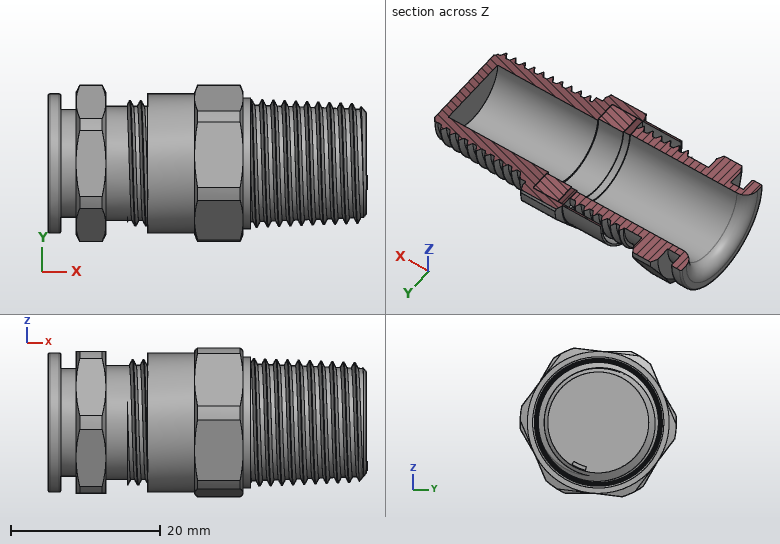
import cadquery as cq
import math


flange_diameter = 18.66
flange_length = 1.7
flange_edge_radius = 0.25
neck_diameter = 14.48
gland_hex_start = 3.73
gland_hex_length = 4.0
gland_hex_chamfer = 0.5
gland_root_diameter = 15.31
gland_thread_start = 10.6
gland_nut_end = 19.6
gland_bore = 12.33
bell_mouth_radius = 2.0

body_diameter = flange_diameter
body_start = 13.3
body_hex_start = 19.6
body_hex_length = 6.5
body_hex_chamfer = 0.4
body_hex_turn = 7.0
collar_diameter = 17.58
collar_length = 1.0
taper_root_large = 15.68
taper_root_small = 14.48
tip_diameter = 13.52
tip_chamfer = 0.4
tip_end = 42.6
body_socket = 18.0
body_bore = 11.2
tip_wall = 1.5

hex_flats = 19.0
hex_corner_diameter = 20.95

thread_height = 0.75
thread_crest = 0.12
flank_angle = 28.0
thread_sink = 0.15
gland_pitch = 1.45
taper_pitch = 1.5

gland_crest_x = 10.95
taper_crest_x = 27.16

lip_height = 0.12
lip_inner_radius = 6.15
lip_start_angle = 238.0
lip_sweep = 17.0

washer_bore = 12.0
washer_length = 1.0
seal_bore = 11.75
seal_length = 4.0

body_hex_end = body_hex_start + body_hex_length
collar_end = body_hex_end + collar_length
tip_chamfer_start = tip_end - tip_chamfer
taper_slope = (taper_root_large - taper_root_small) / 2 / (tip_chamfer_start - collar_end)
washer_end = gland_nut_end + washer_length
seal_end = washer_end + seal_length


def cylinder(diameter, start, end):
    """Round bar along X."""
    return cq.Workplane("YZ", origin=(start, 0, 0)).circle(diameter / 2).extrude(end - start)


def revolved(points):
    """Solid of revolution about X from (x, radius) points."""
    return cq.Workplane("XY").polyline(points).close().revolve(360, (0, 0, 0), (1, 0, 0))


def hexagon(start, length, chamfer, turn):
    """Hexagon with two flats facing Z before the turn, rounded corners and coned ends."""
    end = start + length
    flat_radius = hex_flats / 2
    corner_radius = hex_corner_diameter / 2
    prism = (
        cq.Workplane("YZ", origin=(start, 0, 0))
        .polygon(6, hex_flats / math.cos(math.radians(30)))
        .extrude(length)
        .rotate((0, 0, 0), (1, 0, 0), turn)
    )
    envelope = revolved([
        (start, 0),
        (start, flat_radius),
        (start + chamfer, corner_radius),
        (end - chamfer, corner_radius),
        (end, flat_radius),
        (end, 0),
    ])
    return prism.intersect(envelope)


def taper_radius(x):
    """Root radius of the tapered thread."""
    return taper_root_large / 2 - taper_slope * (x - collar_end)


def thread_ridge(start, length, pitch, root_radius, slope):
    """Right-hand ridge starting on the +Y side; its root radius shrinks by slope along X."""
    half_crest = thread_crest / 2
    half_base = half_crest + (thread_height + thread_sink) * math.tan(math.radians(flank_angle))
    inner = root_radius - thread_sink
    crest = root_radius + thread_height
    cone_angle = -math.degrees(math.atan(slope)) if slope else 360
    helix = cq.Wire.makeHelix(pitch, length, inner, angle=cone_angle)
    ridge = (
        cq.Workplane("XZ")
        .polyline([(inner, -half_base), (crest, -half_crest), (crest, half_crest), (inner, half_base)])
        .close()
        .sweep(cq.Workplane(helix), isFrenet=True)
    )
    return ridge.rotate((0, 0, 0), (1, 1, 1), 120).translate((start, 0, 0))


def make_gland_nut():
    hex_end = gland_hex_start + gland_hex_length
    flange = cylinder(flange_diameter, 0, flange_length).edges().fillet(flange_edge_radius)
    ridge_start = gland_crest_x - gland_pitch
    ridge = thread_ridge(
        ridge_start, gland_nut_end - ridge_start, gland_pitch, gland_root_diameter / 2, 0
    )
    ridge = ridge.intersect(cylinder(body_socket, gland_thread_start, gland_nut_end))
    nut = (
        cylinder(neck_diameter, 0, hex_end)
        .union(flange)
        .union(hexagon(gland_hex_start, gland_hex_length, gland_hex_chamfer, 0))
        .union(cylinder(gland_root_diameter, gland_hex_start, gland_nut_end))
        .union(ridge)
        .cut(cylinder(gland_bore, 0, gland_nut_end))
    )
    mouth_edge = nut.faces("<X").edges(cq.selectors.RadiusNthSelector(0))
    return mouth_edge.fillet(bell_mouth_radius)


def make_tapered_end():
    """Threaded cone, run past the tip and then trimmed to the end face and its chamfer."""
    tip_radius = tip_diameter / 2
    start = body_hex_start + body_hex_length / 2
    ridge_start = taper_crest_x - taper_pitch
    ridge_end = tip_end + taper_pitch / 2
    blank_end = ridge_end + taper_pitch
    blank = revolved([
        (start, 0),
        (start, taper_radius(start)),
        (blank_end, taper_radius(blank_end)),
        (blank_end, 0),
    ])
    ridge = thread_ridge(
        ridge_start, ridge_end - ridge_start, taper_pitch, taper_radius(ridge_start), taper_slope
    )
    chamfer_slope = (taper_root_small / 2 - tip_radius) / tip_chamfer
    envelope = revolved([
        (start, 0),
        (start, tip_radius + chamfer_slope * (tip_end - start)),
        (tip_end, tip_radius),
        (tip_end, 0),
    ])
    return blank.union(ridge).intersect(envelope)


def make_thread_lip():
    outer_radius = tip_diameter / 2 - lip_height
    return (
        cq.Workplane("XY")
        .moveTo(tip_end - lip_height, lip_inner_radius)
        .lineTo(tip_end + lip_height, lip_inner_radius)
        .lineTo(tip_end + lip_height, outer_radius)
        .lineTo(tip_end - lip_height, outer_radius)
        .close()
        .revolve(lip_sweep, (0, 0, 0), (1, 0, 0))
        .rotate((0, 0, 0), (1, 0, 0), lip_start_angle)
    )


def make_body():
    return (
        cylinder(body_diameter, body_start, body_hex_end - body_hex_chamfer)
        .union(hexagon(body_hex_start, body_hex_length, body_hex_chamfer, -body_hex_turn))
        .union(cylinder(collar_diameter, body_hex_end, collar_end))
        .union(make_tapered_end())
        .union(make_thread_lip())
        .cut(cylinder(body_socket, body_start, seal_end))
        .cut(cylinder(body_bore, body_start, tip_end - tip_wall))
    )


def make_ring(bore, start, end):
    """Ring that fills the body's socket."""
    return cylinder(body_socket, start, end).cut(cylinder(bore, start, end))


gland_nut = make_gland_nut()
body = make_body()
washer = make_ring(washer_bore, gland_nut_end, washer_end)
seal = make_ring(seal_bore, washer_end, seal_end)

result = cq.Compound.makeCompound([gland_nut.val(), body.val(), washer.val(), seal.val()])